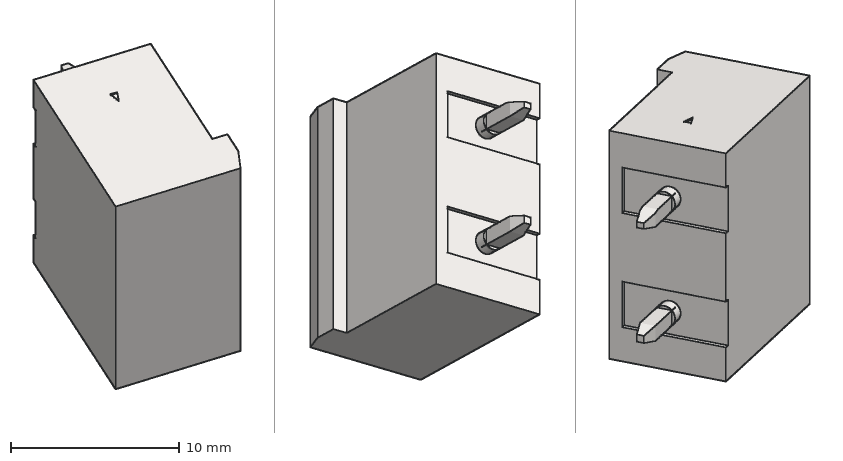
import cadquery as cq

body_length = 12.0
body_height = 15.0
body_width = 7.65
overall_width = 8.63

ledge_start = 9.0
ledge_ramp_start = 10.6
ledge_ramp_drop = 0.48

recess_depth = 0.3
recess_height = 3.0
recess_width = 6.8

pin_pitch = 7.5
pin_y = 3.8
pin_reach = 3.93
pin_size = 1.0
pin_taper = 1.05
top_pin_upper_taper = 1.42
pin_taper_slope = 0.25
collar_diameter = 1.4
collar_reach = 0.5

mark_start = 3.0
mark_length = 0.75
mark_base = 0.45
mark_y = 3.9
mark_depth = 0.1


def make_housing():
    """Prism of the housing profile, with the ramped latch ledge on the +Y side."""
    return (
        cq.Workplane("XY")
        .workplane(offset=-body_height / 2)
        .moveTo(0, 0)
        .lineTo(body_length, 0)
        .lineTo(body_length, overall_width - ledge_ramp_drop)
        .lineTo(ledge_ramp_start, overall_width)
        .lineTo(ledge_start, overall_width)
        .lineTo(ledge_start, body_width)
        .lineTo(0, body_width)
        .close()
        .extrude(body_height)
    )


def make_recess(z):
    """Block removed from the mounting face around the pin at height z."""
    return cq.Workplane("XY").box(
        recess_depth, recess_width, recess_height, centered=(False, False, True)
    ).translate((0, 0, z))


def make_tapered_profile(plane, origin, upper_taper, lower_taper):
    """Pin silhouette as a slab: straight shank narrowing toward the tip at -X.

    Both sides narrow at the same slope, so a longer taper leaves a thinner tip.
    """
    half = pin_size / 2
    return (
        cq.Workplane(plane, origin=origin)
        .moveTo(0, -half)
        .lineTo(0, half)
        .lineTo(-pin_reach + upper_taper, half)
        .lineTo(-pin_reach, half - pin_taper_slope * upper_taper)
        .lineTo(-pin_reach, -half + pin_taper_slope * lower_taper)
        .lineTo(-pin_reach + lower_taper, -half)
        .close()
        .extrude(half, both=True)
    )


def make_pin(z, upper_taper):
    """Square pin with a tapered tip and a round collar, standing on the recess floor."""
    origin = (0, pin_y, z)
    side_profile = make_tapered_profile("XZ", origin, upper_taper, pin_taper)
    top_profile = make_tapered_profile("XY", origin, pin_taper, pin_taper)
    collar = (
        cq.Workplane("YZ", origin=(-collar_reach, pin_y, z))
        .circle(collar_diameter / 2)
        .extrude(collar_reach + recess_depth)
    )
    return side_profile.intersect(top_profile).union(collar)


def make_mark():
    """Triangular pocket in the top face, pointing toward the latch ledge."""
    return (
        cq.Workplane("XY", origin=(mark_start, mark_y, body_height / 2 - mark_depth))
        .moveTo(0, -mark_base / 2)
        .lineTo(mark_length, 0)
        .lineTo(0, mark_base / 2)
        .close()
        .extrude(mark_depth)
    )


result = make_housing().cut(make_mark())
for center, upper_taper in ((-pin_pitch / 2, pin_taper), (pin_pitch / 2, top_pin_upper_taper)):
    result = result.cut(make_recess(center)).union(make_pin(center, upper_taper))